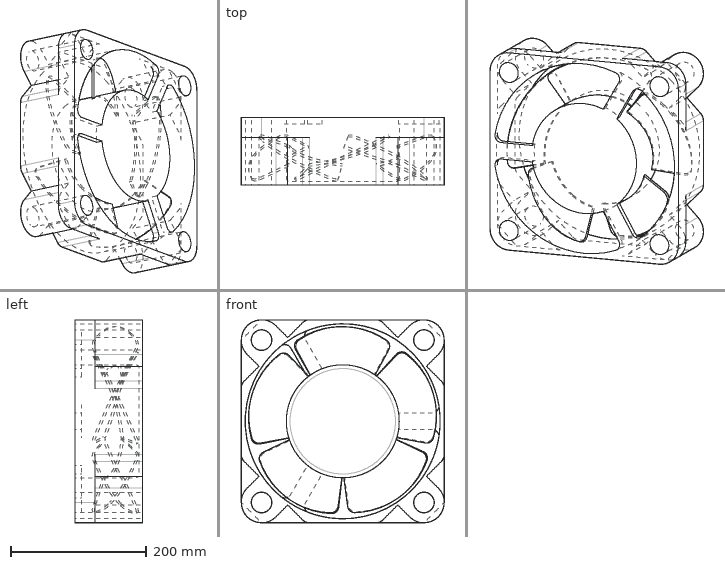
import cadquery as cq
import math

frame_size = 300.0
frame_depth = 100.0
half = frame_size / 2
front_y = -frame_depth / 2
back_y = frame_depth / 2
corner_radius = 30.0
screw_offset = half - corner_radius
screw_hole_diameter = 30.0
bore_radius = 144.0

flange_thickness = 30.0
relief_edge = 55.0
relief_edge_fillet = 15.0

plate_thickness = 10.0
strut_count = 3
strut_width = 25.0
opening_fillet = 10.0

hub_radius = 83.5
hub_front_y = front_y + 5.0
hub_fillet = 5.5

blade_count = 5
blade_tip_radius = 140.0
blade_tip_arc_radius = 115.0
blade_root_half_angle = 35.0
blade_tip_half_angle = 32.5
blade_corner_fillet = 11.0
blade_thickness = 3.5
root_axial = (-22.0, -12.0, 5.0)
tip_axial = (-51.0, -11.0, 28.0)
blade_embed = 4.0


def polar(radius, angle):
    """X and Z of a point at an angle in degrees from +X towards +Z."""
    return radius * math.cos(math.radians(angle)), radius * math.sin(math.radians(angle))


def workplane_at(y):
    """Plane facing -Y at the given Y; local x is X and local y is Z."""
    return cq.Workplane("XZ", origin=(0, y, 0))


def spin(shape, angle):
    """Turn a shape about the fan axis, from +X towards +Z."""
    return shape.rotate((0, 0, 0), (0, -1, 0), angle)


def radial_distance(shape):
    """Distance of a shape's center from the fan axis."""
    center = shape.Center()
    return math.hypot(center.x, center.z)


def relieved_outline():
    """Frame outline ahead of the flange: duct walls, V reliefs and round screw bosses."""
    boss_x, boss_z = polar(corner_radius, 135)
    boss_x += screw_offset
    boss_z += screw_offset
    notch_x = (half + relief_edge + boss_x - boss_z) / 2
    notch_z = half + relief_edge - notch_x
    setback = relief_edge_fillet * math.tan(math.radians(22.5))
    edge_arc_x, edge_arc_z = polar(relief_edge_fillet, 67.5)
    edge_center_x = relief_edge - setback
    edge_center_z = half - relief_edge_fillet
    edge_end_x, edge_end_z = polar(relief_edge_fillet, 45)
    boss_far = screw_offset + corner_radius * math.sqrt(0.5)

    def turned(x, z, quarter):
        """The point (x, z) turned clockwise by a number of quarter turns."""
        for _ in range(quarter):
            x, z = z, -x
        return x, z

    outline = workplane_at(back_y).moveTo(-edge_center_x, half)
    for quarter in range(4):
        outline = (
            outline.lineTo(*turned(edge_center_x, half, quarter))
            .threePointArc(
                turned(edge_center_x + edge_arc_x, edge_center_z + edge_arc_z, quarter),
                turned(edge_center_x + edge_end_x, edge_center_z + edge_end_z, quarter),
            )
            .lineTo(*turned(notch_x, notch_z, quarter))
            .lineTo(*turned(boss_x, boss_z, quarter))
            .threePointArc(
                turned(boss_far, boss_far, quarter),
                turned(boss_z, boss_x, quarter),
            )
            .lineTo(*turned(notch_z, notch_x, quarter))
            .lineTo(*turned(edge_center_z + edge_end_z, edge_center_x + edge_end_x, quarter))
            .threePointArc(
                turned(edge_center_z + edge_arc_z, edge_center_x + edge_arc_x, quarter),
                turned(half, edge_center_x, quarter),
            )
        )
    return outline.wire()


def make_frame():
    flange = workplane_at(back_y).rect(frame_size, frame_size).extrude(flange_thickness)
    frame = flange.union(relieved_outline().extrude(frame_depth)).clean()
    square_corners = frame.edges("|Y").filter(lambda edge: radial_distance(edge) > half * math.sqrt(2) - 1)
    frame = square_corners.fillet(corner_radius)
    bore = workplane_at(back_y - plate_thickness).circle(bore_radius).extrude(frame_depth)
    holes = (
        workplane_at(back_y)
        .rect(2 * screw_offset, 2 * screw_offset, forConstruction=True)
        .vertices()
        .circle(screw_hole_diameter / 2)
        .extrude(frame_depth)
    )
    return frame.cut(bore).cut(holes)


def plate_openings():
    """Openings of the back plate between the hub disc and the bore."""
    ring = workplane_at(back_y).circle(bore_radius).circle(hub_radius).extrude(plate_thickness)
    for index in range(strut_count):
        strut = workplane_at(back_y).center(bore_radius, 0).rect(2 * bore_radius, strut_width)
        ring = ring.cut(spin(strut.extrude(plate_thickness), 360 / strut_count * index))
    corner_edges = ring.edges("|Y").filter(lambda edge: radial_distance(edge) > 1.1 * hub_radius)
    return corner_edges.fillet(opening_fillet)


def make_hub():
    hub = workplane_at(back_y).circle(hub_radius).extrude(back_y - hub_front_y)
    return hub.edges("<Y").fillet(hub_fillet)


def axial_position(stations, u):
    """Parabola through Y at u = 1 (leading), 0 (middle) and -1 (trailing)."""
    leading, middle, trailing = stations
    return middle + (leading - trailing) / 2 * u + ((leading + trailing) / 2 - middle) * u * u


def blade_curve(radius):
    """Section of the blade's front face with a cylinder around the fan axis."""
    along = (radius - hub_radius) / (blade_tip_radius - hub_radius)
    points = []
    for step in range(-6, 7):
        u = step / 5
        root_y = axial_position(root_axial, u)
        tip_y = axial_position(tip_axial, u)
        x, z = polar(radius, 90 + u * blade_root_half_angle)
        points.append(cq.Vector(x, root_y + along * (tip_y - root_y), z))
    return cq.Edge.makeSpline(points)


def blade_outline():
    """Prism along Y that trims the sheet to the blade's planform."""
    root_x, root_z = polar(hub_radius, 90 - blade_root_half_angle)
    tip_angle = math.radians(blade_tip_half_angle)
    arc_center = blade_tip_radius - blade_tip_arc_radius
    end_radius = arc_center * math.cos(tip_angle) + math.sqrt(
        blade_tip_arc_radius**2 - (arc_center * math.sin(tip_angle)) ** 2
    )
    tip_x, tip_z = polar(end_radius, 90 - blade_tip_half_angle)
    inner_radius = hub_radius - blade_embed
    inner_x, inner_z = polar(inner_radius, 90 - blade_root_half_angle)
    outline = (
        workplane_at(frame_depth)
        .moveTo(-inner_x, inner_z)
        .threePointArc((0, inner_radius), (inner_x, inner_z))
        .lineTo(root_x, root_z)
        .lineTo(tip_x, tip_z)
        .threePointArc((0, blade_tip_radius), (-tip_x, tip_z))
        .lineTo(-root_x, root_z)
        .close()
        .extrude(2 * frame_depth)
    )
    tips = outline.edges("|Y").filter(lambda edge: radial_distance(edge) > 1.1 * hub_radius)
    return tips.fillet(blade_corner_fillet)


def make_blade():
    inner = blade_curve(hub_radius - 2 * blade_embed)
    outer = blade_curve(bore_radius)
    sheet = cq.Face.makeRuledSurface(inner, outer)
    trimmed = sheet.intersect(blade_outline().val()).Faces()[0]
    side = blade_thickness if trimmed.normalAt().y > 0 else -blade_thickness
    return cq.Workplane(obj=trimmed.thicken(side))


result = make_frame().cut(plate_openings()).union(make_hub())
blade = make_blade()
for index in range(blade_count):
    result = result.union(spin(blade, 360 / blade_count * index))